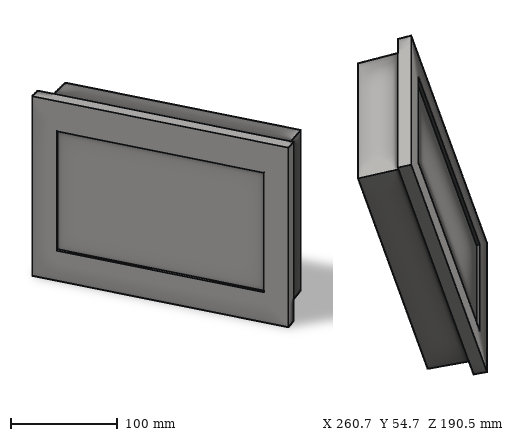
import cadquery as cq
import math

bezel_width = 260.7
bezel_height = 190.5
bezel_depth = 13.0
total_depth = 54.7

housing_width = 241.7
housing_height = 172.0

draft_angle = 1.5

screen_width = 210.5
screen_height = 126.7
screen_recess = 3.0


def drafted_block(width, height, front_y, depth):
    """Rectangular block centred on the Y axis that narrows from front_y toward the back."""
    shrink = 2 * depth * math.tan(math.radians(draft_angle))
    return (
        cq.Workplane("XZ", origin=(0, front_y, 0))
        .rect(width, height)
        .workplane(offset=-depth)
        .rect(width - shrink, height - shrink)
        .loft(ruled=True)
    )


bezel = drafted_block(bezel_width, bezel_height, 0, bezel_depth)
housing = drafted_block(housing_width, housing_height, bezel_depth, total_depth - bezel_depth)
screen = cq.Workplane("XZ").rect(screen_width, screen_height).extrude(-screen_recess)

result = bezel.union(housing).cut(screen)